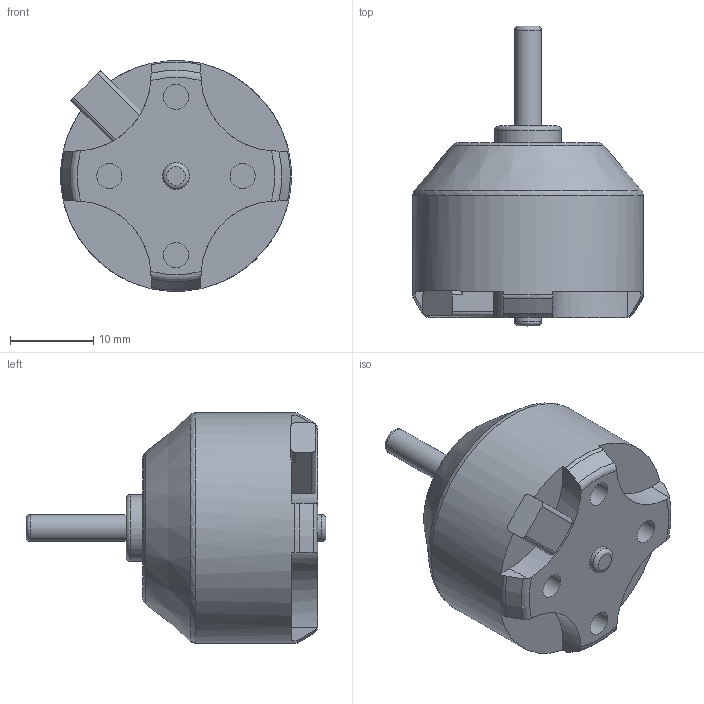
import cadquery as cq
import math


can_radius = 13.85
can_length = 21.0
shoulder_y = 15.0
nose_angle = math.radians(40)
base_bevel_y = 2.46
base_bevel_angle = math.radians(30)
can_edge_fillet = 1.0

collar_radius = 4.0
collar_end_y = 23.0
shaft_radius = 1.6
shaft_start_y = -1.0
shaft_end_y = 35.0
rim_fillet = 0.5

pad_height = 3.15
arm_half_width = 3.0
scallop_radius = 9.0
scallop_center = arm_half_width + scallop_radius
scallop_clearance = 2.0
scallop_reach = can_radius + scallop_clearance
quadrant_count = 4
quadrant_angle = 360 / quadrant_count

hole_radius = 1.5
hole_depth = pad_height
hole_offset_x = 8.0
hole_offset_z = 9.5

lead_width = 5.0
lead_start_y = 0.2
lead_end_y = 3.2
lead_inner_radius = 6.0
lead_outer_radius = 15.35
lead_edge_fillet = 0.5
lead_angle = 45


def y_cylinder(radius, start_y, end_y):
    """Cylinder on the motor axis from start_y to end_y."""
    plane = cq.Workplane("XZ", origin=(0, start_y, 0))
    return plane.circle(radius).extrude(start_y - end_y)


def make_can():
    """Turned can: bevelled base, straight wall and conical nose with rounded edges."""
    base_radius = can_radius - base_bevel_y * math.tan(base_bevel_angle)
    nose_radius = can_radius - (can_length - shoulder_y) * math.tan(nose_angle)
    profile = (
        cq.Workplane("XY")
        .moveTo(0, 0)
        .lineTo(base_radius, 0)
        .lineTo(can_radius, base_bevel_y)
        .lineTo(can_radius, shoulder_y)
        .lineTo(nose_radius, can_length)
        .lineTo(0, can_length)
        .close()
    )
    can = profile.revolve(360, (0, 0, 0), (0, 1, 0))
    return can.edges("%CIRCLE").fillet(can_edge_fillet)


def make_scallop():
    """Cutter for the +X +Z quadrant: a round inner corner that runs straight out past the can."""
    inner_corner = scallop_center - scallop_radius * math.sqrt(0.5)
    return (
        cq.Workplane("XZ")
        .moveTo(arm_half_width, scallop_reach)
        .lineTo(arm_half_width, scallop_center)
        .threePointArc((inner_corner, inner_corner), (scallop_center, arm_half_width))
        .lineTo(scallop_reach, arm_half_width)
        .lineTo(scallop_reach, scallop_reach)
        .close()
        .extrude(-pad_height)
    )


def make_mounting_holes():
    """Two pairs of blind holes, one pair on the X arms and one on the Z arms."""
    centers = [(hole_offset_x, 0), (-hole_offset_x, 0), (0, hole_offset_z), (0, -hole_offset_z)]
    return cq.Workplane("XZ").pushPoints(centers).circle(hole_radius).extrude(-hole_depth)


def make_lead_block():
    """Radial bar with rounded long edges; the +Y pair stays square within the can radius."""
    length = lead_outer_radius - lead_inner_radius
    height = lead_end_y - lead_start_y
    middle_radius = (lead_inner_radius + lead_outer_radius) / 2
    middle_y = (lead_start_y + lead_end_y) / 2

    bar = cq.Workplane("XY").box(length, height, lead_width)
    bar = bar.translate((-middle_radius, middle_y, 0))
    rounded_bar = bar.edges("|X").fillet(lead_edge_fillet)
    square_seat = bar.intersect(y_cylinder(can_radius, middle_y, lead_end_y))
    lead = rounded_bar.union(square_seat)
    return lead.rotate((0, 0, 0), (0, 1, 0), lead_angle)


def make_collar():
    """Round collar on the nose with a rounded outer rim."""
    collar = y_cylinder(collar_radius, shoulder_y, collar_end_y)
    return collar.faces(">Y").edges().fillet(rim_fillet)


def make_shaft():
    """Through shaft with both ends rounded."""
    shaft = y_cylinder(shaft_radius, shaft_start_y, shaft_end_y)
    return shaft.edges("%CIRCLE").fillet(rim_fillet)


motor = make_can()
scallop = make_scallop()
for quadrant in range(quadrant_count):
    motor = motor.cut(scallop.rotate((0, 0, 0), (0, 1, 0), quadrant_angle * quadrant))
motor = motor.cut(make_mounting_holes())

result = motor.union(make_lead_block()).union(make_collar()).union(make_shaft())